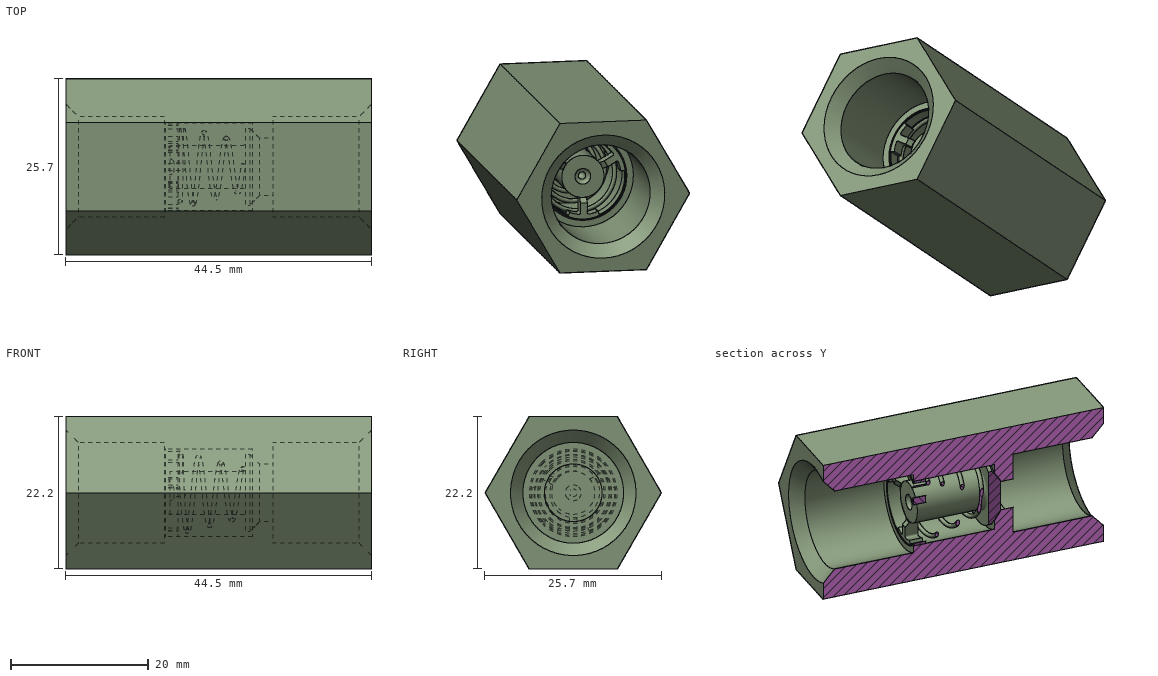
import cadquery as cq
import math


length = 44.45
across_flats = 22.225
across_corners = across_flats / math.cos(math.radians(30))

port_radius = 7.33
port_mouth_radius = 9.13
port_chamfer_depth = 1.8
port_depth = 14.3

chamber_radius = 6.37
seat_wall = 3.0
orifice_radius = 4.2
seat_radius = 5.2

retainer_thickness = 2.0
retainer_chamfer = 0.2
window_radius = 6.05
guide_mouth_radius = 3.8
arm_count = 3
arm_width = 1.02
foot_radius = 5.52
foot_fillet = 0.25
foot_half_angle = 22.5

stem_radius = 3.13
stem_recess = 0.8
head_radius = 5.6
head_rim = 0.6
stem_root_fillet = 0.36
center_mouth_radius = 1.16
center_pilot_radius = 0.55
center_pilot_depth = 1.2

wire_diameter = 0.62
spring_large_radius = 5.8
spring_small_radius = 3.5
spring_start_angle = 30
large_coil_angle = 150
cone_angle = 997
coil_step = 20

inlet_end = -length / 2
outlet_end = length / 2
retainer_front = inlet_end + port_depth
stem_front = retainer_front + stem_recess
retainer_back = retainer_front + retainer_thickness
seat_back = outlet_end - port_depth
seat_front = seat_back - seat_wall
seat_cone_end = seat_front + seat_radius - orifice_radius
head_cone_start = seat_front - (head_radius - seat_radius)
head_back = head_cone_start - head_rim


def turned(profile):
    """Revolve (x, radius) points about the X axis, with the seam on the -Z side."""
    points = [(x, -radius) for x, radius in profile]
    return cq.Workplane("XZ").polyline(points).close().revolve(360, (0, 0, 0), (1, 0, 0))


def make_housing():
    """Hex bar bored through, with a port at each end and the valve chamber and seat between."""
    hexagon = cq.Workplane("YZ").workplane(offset=inlet_end).polygon(6, across_corners).extrude(length)
    bore = turned([
        (inlet_end, 0),
        (inlet_end, port_mouth_radius),
        (inlet_end + port_chamfer_depth, port_radius),
        (retainer_front, port_radius),
        (retainer_front, chamber_radius),
        (seat_front, chamber_radius),
        (seat_front, seat_radius),
        (seat_cone_end, orifice_radius),
        (seat_back, orifice_radius),
        (seat_back, port_radius),
        (outlet_end - port_chamfer_depth, port_radius),
        (outlet_end, port_mouth_radius),
        (outlet_end, 0),
    ])
    return hexagon.cut(bore)


def make_retainer():
    """Ring with three inward arms, each arm widening into an arc-shaped foot at the ring."""
    plane = cq.Workplane("YZ").workplane(offset=retainer_front)
    ring = plane.circle(chamber_radius).circle(window_radius).extrude(retainer_thickness)
    outer_edge = cq.selectors.RadiusNthSelector(-1)
    ring = ring.faces("<X").edges(outer_edge).chamfer(retainer_chamfer)
    sector_reach = 2 * window_radius
    sector_half_width = sector_reach * math.tan(math.radians(foot_half_angle))
    sector = plane.polyline([
        (0, 0),
        (sector_half_width, -sector_reach),
        (-sector_half_width, -sector_reach),
    ]).close().extrude(retainer_thickness)
    foot = plane.circle(window_radius).circle(foot_radius).extrude(retainer_thickness).intersect(sector)
    arm = plane.center(0, -foot_radius / 2).rect(arm_width, foot_radius).extrude(retainer_thickness)
    arm = arm.union(foot)
    corners = cq.selectors.BoxSelector(
        (retainer_front, -arm_width, -window_radius),
        (retainer_back, arm_width, -guide_mouth_radius),
    )
    arm = arm.edges("|X").edges(corners).fillet(foot_fillet)
    for i in range(arm_count):
        ring = ring.union(arm.rotate((0, 0, 0), (1, 0, 0), i * 360 / arm_count))
    guide_mouth_depth = guide_mouth_radius - stem_radius
    guide = turned([
        (retainer_front, 0),
        (retainer_front, guide_mouth_radius),
        (retainer_front + guide_mouth_depth, stem_radius),
        (retainer_back, stem_radius),
        (retainer_back, 0),
    ])
    return ring.cut(guide)


def make_poppet():
    """Stem with a radiused centre hole and a head with a conical sealing face."""
    poppet = turned([
        (stem_front, 0),
        (stem_front, stem_radius),
        (head_back, stem_radius),
        (head_back, head_radius),
        (head_cone_start, head_radius),
        (seat_cone_end, orifice_radius),
        (seat_cone_end, 0),
    ])
    rounding = center_mouth_radius - center_pilot_radius
    pilot_start = stem_front + rounding
    pilot_end = pilot_start + center_pilot_depth
    diagonal = math.sqrt(0.5)
    center_hole = (
        cq.Workplane("XZ")
        .moveTo(stem_front, 0)
        .lineTo(stem_front, -center_mouth_radius)
        .threePointArc(
            (stem_front + rounding * diagonal, -center_mouth_radius + rounding * (1 - diagonal)),
            (pilot_start, -center_pilot_radius),
        )
        .lineTo(pilot_end, -center_pilot_radius)
        .threePointArc(
            (pilot_end + center_pilot_radius * diagonal, -center_pilot_radius * diagonal),
            (pilot_end + center_pilot_radius, 0),
        )
        .close()
        .revolve(360, (0, 0, 0), (1, 0, 0))
    )
    stem_root = cq.selectors.RadiusNthSelector(0)
    poppet = poppet.faces("<X[1]").edges(stem_root).fillet(stem_root_fillet)
    return poppet.cut(center_hole)


def make_spring():
    """Conical coil that starts with a flatter stretch of constant radius at its large end."""
    wire_radius = wire_diameter / 2
    total_angle = large_coil_angle + cone_angle
    coil_start = retainer_back + wire_radius
    coil_end = head_back - wire_radius
    cone_start = coil_start + wire_diameter * large_coil_angle / 360

    def coil_point(turned_angle):
        cone_share = max((turned_angle - large_coil_angle) / cone_angle, 0)
        radius = spring_large_radius + (spring_small_radius - spring_large_radius) * cone_share
        if turned_angle < large_coil_angle:
            x = coil_start + wire_diameter * turned_angle / 360
        else:
            x = cone_start + (coil_end - cone_start) * cone_share
        angle = math.radians(spring_start_angle + turned_angle)
        return cq.Vector(x, -radius * math.cos(angle), radius * math.sin(angle))

    step_count = round(total_angle / coil_step)
    coil = cq.Edge.makeSpline([coil_point(total_angle * i / step_count) for i in range(step_count + 1)])
    wire_end = cq.Plane(origin=coil.startPoint(), xDir=(1, 0, 0), normal=coil.tangentAt(0))
    path = cq.Workplane("XY").add(cq.Wire.assembleEdges([coil]))
    return cq.Workplane(wire_end).circle(wire_radius).sweep(path, isFrenet=True)


housing = make_housing()
retainer = make_retainer()
poppet = make_poppet()
spring = make_spring()

bodies = [housing, retainer, poppet, spring]
result = cq.Compound.makeCompound([body.solids().val() for body in bodies])